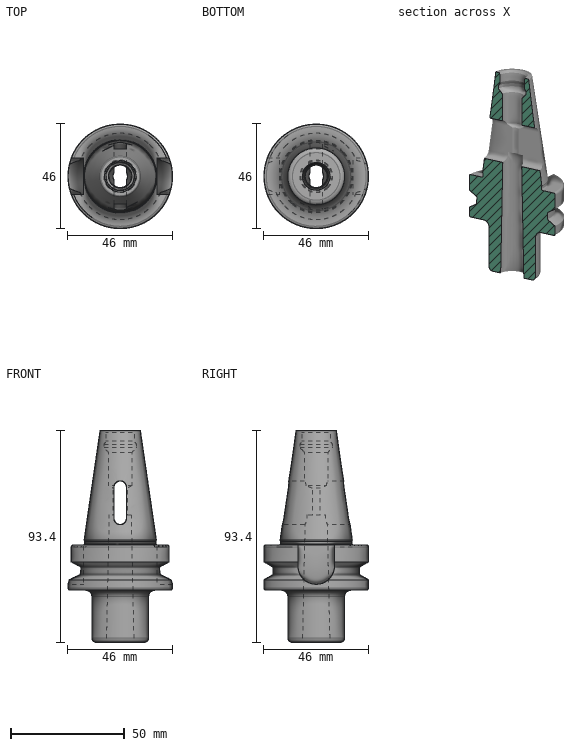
import cadquery as cq
import math

total_height = 93.4

tail_radius = 12.5
tail_end_fillet = 2.1
tail_root_fillet = 2.7

flange_radius = 23.02
flange_bottom = 23.0
flange_top = 43.0
flange_edge_fillet = 1.0
groove_bottom = 27.55
groove_top = 35.5
groove_radius = 19.1
groove_corner_fillet = 0.4
groove_flank_angle = math.radians(30)
groove_flank_rise = (flange_radius - groove_radius) * math.tan(groove_flank_angle)

taper_base = 45.0
taper_base_radius = 15.925
taper_ratio = 7 / 24
taper_top_radius = taper_base_radius - (total_height - taper_base) * taper_ratio / 2
taper_end_fillet = 0.4
foot_relief_radius = 15.7
foot_relief_top = 44.4
foot_relief_fillet = 0.5

keyway_width = 16.1
keyway_bottom = 25.6
keyway_floor_x = 16.11

slot_width = 5.4
slot_bottom = 51.9
slot_top = 71.1

socket_depth = 56.0
socket_mouth_radius = 6.1
socket_end_radius = 4.9

bore_mouth_radius = 6.9
counterbore_radius = 6.3
counterbore_depth = 4.8
relief_flare_height = 1.5
relief_groove_radius = 7.2
relief_groove_width = 1.4
bolt_radius = 5.1
bolt_bore_bottom = 69.1
pilot_radius = 3.2
drill_half_angle = math.radians(59)
mouth_chamfer_angle = math.radians(30)
mouth_chamfer_depth = (bore_mouth_radius - counterbore_radius) / math.tan(mouth_chamfer_angle)
relief_floor_drop = relief_groove_radius - bolt_radius
drill_tip_drop = (bolt_radius - pilot_radius) / math.tan(drill_half_angle)


def revolve(points):
    """Turn a closed (radius, height) outline about the Z axis."""
    return cq.Workplane("XZ").polyline(points).close().revolve(360, (0, 0), (0, 1))


def fillet_circle(body, radius, height, fillet):
    """Round the circular edge of the given radius at the given height."""
    margin = 0.01
    side = 2 * (radius + margin)
    selector = cq.selectors.BoxSelector(
        (-side / 2, -side / 2, height - margin),
        (side / 2, side / 2, height + margin),
        boundingbox=True,
    )
    ring = body.edges(selector).edges(cq.selectors.RadiusNthSelector(-1))
    return ring.fillet(fillet)


def make_body():
    body = revolve([
        (0, 0),
        (tail_radius, 0),
        (tail_radius, flange_bottom),
        (flange_radius, flange_bottom),
        (flange_radius, groove_bottom),
        (groove_radius, groove_bottom + groove_flank_rise),
        (groove_radius, groove_top - groove_flank_rise),
        (flange_radius, groove_top),
        (flange_radius, flange_top),
        (foot_relief_radius, flange_top),
        (foot_relief_radius, foot_relief_top),
        (taper_base_radius, taper_base),
        (taper_top_radius, total_height),
        (0, total_height),
    ])
    rounded_edges = [
        (tail_radius, 0, tail_end_fillet),
        (tail_radius, flange_bottom, tail_root_fillet),
        (flange_radius, flange_bottom, flange_edge_fillet),
        (groove_radius, groove_bottom + groove_flank_rise, groove_corner_fillet),
        (groove_radius, groove_top - groove_flank_rise, groove_corner_fillet),
        (flange_radius, flange_top, flange_edge_fillet),
        (foot_relief_radius, flange_top, foot_relief_fillet),
        (taper_top_radius, total_height, taper_end_fillet),
    ]
    for radius, height, fillet in rounded_edges:
        body = fillet_circle(body, radius, height, fillet)
    return body


def make_bore():
    """Socket, pilot hole and relieved draw-bolt bore as one stepped void."""
    counterbore_end = total_height - counterbore_depth
    groove_wall_top = counterbore_end - relief_flare_height
    groove_wall_bottom = groove_wall_top - relief_groove_width
    return revolve([
        (0, 0),
        (socket_mouth_radius, 0),
        (socket_end_radius, socket_depth),
        (pilot_radius, socket_depth),
        (pilot_radius, bolt_bore_bottom - drill_tip_drop),
        (bolt_radius, bolt_bore_bottom),
        (bolt_radius, groove_wall_bottom - relief_floor_drop),
        (relief_groove_radius, groove_wall_bottom),
        (relief_groove_radius, groove_wall_top),
        (counterbore_radius, counterbore_end),
        (counterbore_radius, total_height - mouth_chamfer_depth),
        (bore_mouth_radius, total_height),
        (0, total_height),
    ])


def make_drift_slot():
    return (
        cq.Workplane("XZ")
        .center(0, (slot_bottom + slot_top) / 2)
        .slot2D(slot_top - slot_bottom, slot_width, 90)
        .extrude(flange_radius, both=True)
    )


def make_keyway(side):
    """Round-bottomed keyway on the +X (side = 1) or -X (side = -1) flank."""
    half_width = keyway_width / 2
    arc_center = keyway_bottom + half_width
    return (
        cq.Workplane("YZ", origin=(side * keyway_floor_x, 0, 0))
        .moveTo(-half_width, flange_top)
        .lineTo(-half_width, arc_center)
        .threePointArc((0, keyway_bottom), (half_width, arc_center))
        .lineTo(half_width, flange_top)
        .close()
        .extrude(side * flange_radius)
    )


result = make_body().cut(make_bore()).cut(make_drift_slot())
for keyway_side in (-1, 1):
    result = result.cut(make_keyway(keyway_side))